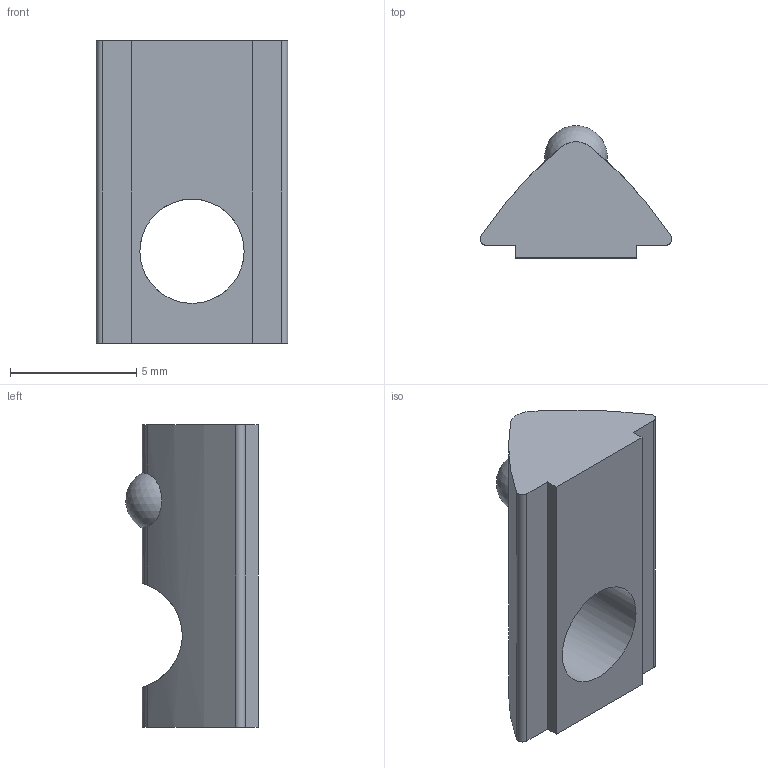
import cadquery as cq
import math

width = 7.6
length = 12.0
apex_height = 4.6

tongue_width = 4.8
tongue_height = 0.5

corner_radius = 0.25
ridge_radius = 0.9
flank_radius = 16.0

hole_diameter = 4.13
hole_z = 3.65
ball_radius = 1.25
ball_top_y = 5.25
ball_z = 9.0


def point_on_circle(center, radius, angle):
    """Point at the given angle (radians) on a circle."""
    return (center[0] + radius * math.cos(angle), center[1] + radius * math.sin(angle))


def direction(start, end):
    """Angle (radians) of the line from start to end."""
    return math.atan2(end[1] - start[1], end[0] - start[0])


def mirrored(point):
    """Point reflected across the centre plane X = 0."""
    return (-point[0], point[1])


def make_body():
    """Prism along Z whose flank arcs run tangent into the ridge and the corner rounds."""
    corner = (width / 2 - corner_radius, tongue_height + corner_radius)
    ridge = (0, apex_height - ridge_radius)

    to_ridge = flank_radius - ridge_radius
    to_corner = flank_radius - corner_radius
    spacing = math.dist(ridge, corner)
    cos_at_ridge = (to_ridge**2 + spacing**2 - to_corner**2) / (2 * to_ridge * spacing)
    center_angle = direction(ridge, corner) - math.acos(cos_at_ridge)
    flank = point_on_circle(ridge, to_ridge, center_angle)

    ridge_angle = direction(flank, ridge)
    corner_angle = direction(flank, corner)
    flank_top = point_on_circle(flank, flank_radius, ridge_angle)
    flank_middle = point_on_circle(flank, flank_radius, (ridge_angle + corner_angle) / 2)
    flank_bottom = point_on_circle(flank, flank_radius, corner_angle)

    corner_middle = point_on_circle(corner, corner_radius, (corner_angle - math.pi / 2) / 2)
    corner_bottom = (corner[0], tongue_height)
    tongue_top = (tongue_width / 2, tongue_height)
    tongue_bottom = (tongue_width / 2, 0)

    return (
        cq.Workplane("XY")
        .moveTo(*tongue_bottom)
        .lineTo(*tongue_top)
        .lineTo(*corner_bottom)
        .threePointArc(corner_middle, flank_bottom)
        .threePointArc(flank_middle, flank_top)
        .threePointArc((0, apex_height), mirrored(flank_top))
        .threePointArc(mirrored(flank_middle), mirrored(flank_bottom))
        .threePointArc(mirrored(corner_middle), mirrored(corner_bottom))
        .lineTo(*mirrored(tongue_top))
        .lineTo(*mirrored(tongue_bottom))
        .close()
        .extrude(length)
    )


def make_hole():
    """Cylinder along Y that passes from the base through the ridge."""
    return (
        cq.Workplane("XZ", origin=(0, apex_height, hole_z))
        .circle(hole_diameter / 2)
        .extrude(apex_height)
    )


def make_ball():
    """Ball seated in the ridge, standing proud of it."""
    return cq.Workplane("XY", origin=(0, ball_top_y - ball_radius, ball_z)).sphere(ball_radius)


result = make_body().cut(make_hole()).union(make_ball())